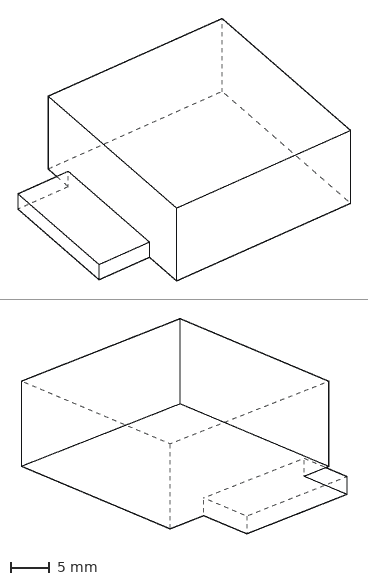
import cadquery as cq

block_length = 28.45
block_width = 27.55
block_height = 12.0
tab_length = 18.0
tab_reach = 8.0
tab_height = 2.52
tab_offset = 4.45
turn_angle = -31.0

block = cq.Workplane("XY").box(block_length, block_width, block_height, centered=False)

tab = (
    cq.Workplane("XY")
    .box(tab_length, tab_reach, tab_height, centered=False)
    .translate((tab_offset, -tab_reach, 0))
)

result = block.union(tab).rotate((0, 0, 0), (0, 0, 1), turn_angle)